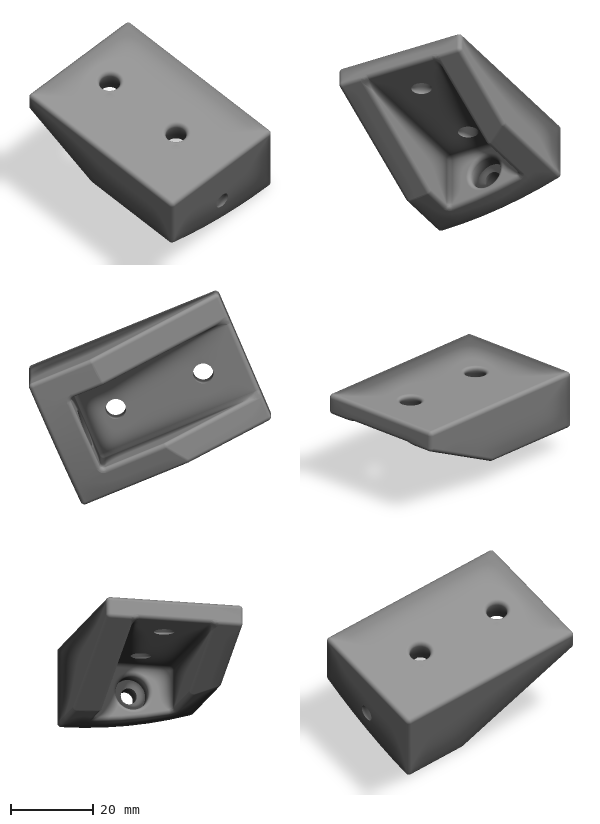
import cadquery as cq

length = 50.0
width = 34.2
height = 20.0
edge_radius = 1.0

nose_height = 5.0
slope_end = 33.5
curve_radius = 110.0

pocket_width = 20.0
plate_thickness = 5.0
back_wall = 8.0
pocket_length = length - back_wall

plate_hole_diameter = 5.0
plate_hole_places = (11.0, 34.0)

bolt_diameter = 4.0
bolt_head_diameter = 8.25
bolt_head_depth = back_wall / 2
bolt_drop = 12.0


def wedge_block():
    """Sloped block whose underside is an arc, lowest along its +Y side."""
    wedge = (
        cq.Workplane("XZ")
        .polyline([
            (0, 0),
            (length, 0),
            (length, -height),
            (slope_end, -height),
            (0, -nose_height),
        ])
        .close()
        .extrude(width / 2, both=True)
    )
    curve_cylinder = (
        cq.Workplane("YZ")
        .center(width / 2, curve_radius - height)
        .circle(curve_radius)
        .extrude(length)
    )
    return wedge.intersect(curve_cylinder)


def pocket():
    """Open-bottomed cutter running from the nose to the back wall."""
    return cq.Workplane("XY").box(
        pocket_length, pocket_width, height, centered=(False, True, False)
    ).translate((0, 0, -plate_thickness - height))


def plate_holes():
    return (
        cq.Workplane("XY")
        .pushPoints([(x, 0) for x in plate_hole_places])
        .circle(plate_hole_diameter / 2)
        .extrude(-plate_thickness)
    )


def bolt_hole():
    """Counterbore sunk into the pocket side of the back wall, with a through hole."""
    wall_face = cq.Workplane("YZ", origin=(pocket_length, 0, -bolt_drop))
    shank = wall_face.circle(bolt_diameter / 2).extrude(back_wall)
    head = wall_face.circle(bolt_head_diameter / 2).extrude(bolt_head_depth)
    return shank.union(head)


def round_rims(body):
    """Round the upper rims of the screw holes and the mouth of the counterbore."""
    body = body.faces(">Z").edges("%CIRCLE").fillet(edge_radius)
    mouth_centre = (pocket_length, 0, -bolt_drop)
    mouth = cq.selectors.NearestToPointSelector(mouth_centre)
    return body.edges(mouth).fillet(edge_radius)


block = wedge_block().cut(pocket()).edges().fillet(edge_radius)
drilled = block.cut(plate_holes()).cut(bolt_hole())
result = round_rims(drilled)